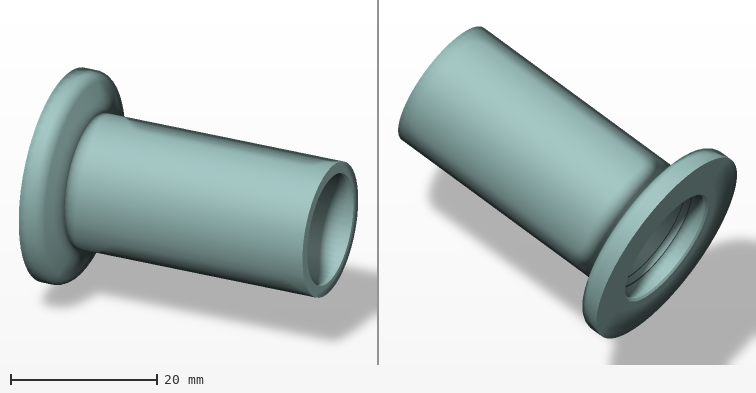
import cadquery as cq
import math

total_length = 40.0
flange_radius = 15.0

tube_outer_radius = 9.5
tube_inner_radius = 7.9

rim_width = 1.75
shoulder_radius = 1.6
cone_angle = math.radians(15)

mouth_radius = 8.6
mouth_chamfer = 0.3
lip_radius = 8.2
lip_start = 2.65
tube_start = 3.6


def shoulder_point(angle):
    """Point on the shoulder arc, with the angle measured from the X direction."""
    return (
        rim_width + shoulder_radius * math.cos(angle),
        flange_radius - shoulder_radius + shoulder_radius * math.sin(angle),
    )


def make_flange():
    """Revolved flange with a socket at the back for the tube end."""
    cone_start = shoulder_point(cone_angle)
    arc_middle = shoulder_point((cone_angle + math.pi / 2) / 2)
    cone_end_x = cone_start[0] + (cone_start[1] - tube_outer_radius) * math.tan(cone_angle)
    return (
        cq.Workplane("XY")
        .moveTo(0, mouth_radius + mouth_chamfer)
        .lineTo(0, flange_radius)
        .lineTo(rim_width, flange_radius)
        .threePointArc(arc_middle, cone_start)
        .lineTo(cone_end_x, tube_outer_radius)
        .lineTo(tube_start, tube_outer_radius)
        .lineTo(tube_start, lip_radius)
        .lineTo(lip_start, lip_radius)
        .lineTo(lip_start, mouth_radius)
        .lineTo(mouth_chamfer, mouth_radius)
        .close()
        .revolve(360, (0, 0, 0), (1, 0, 0))
    )


def make_tube():
    """Plain tube seated against the lip of the flange."""
    return (
        cq.Workplane("YZ", origin=(tube_start, 0, 0))
        .circle(tube_outer_radius)
        .circle(tube_inner_radius)
        .extrude(total_length - tube_start)
    )


flange = make_flange()
tube = make_tube()

result = cq.Compound.makeCompound([flange.val(), tube.val()])